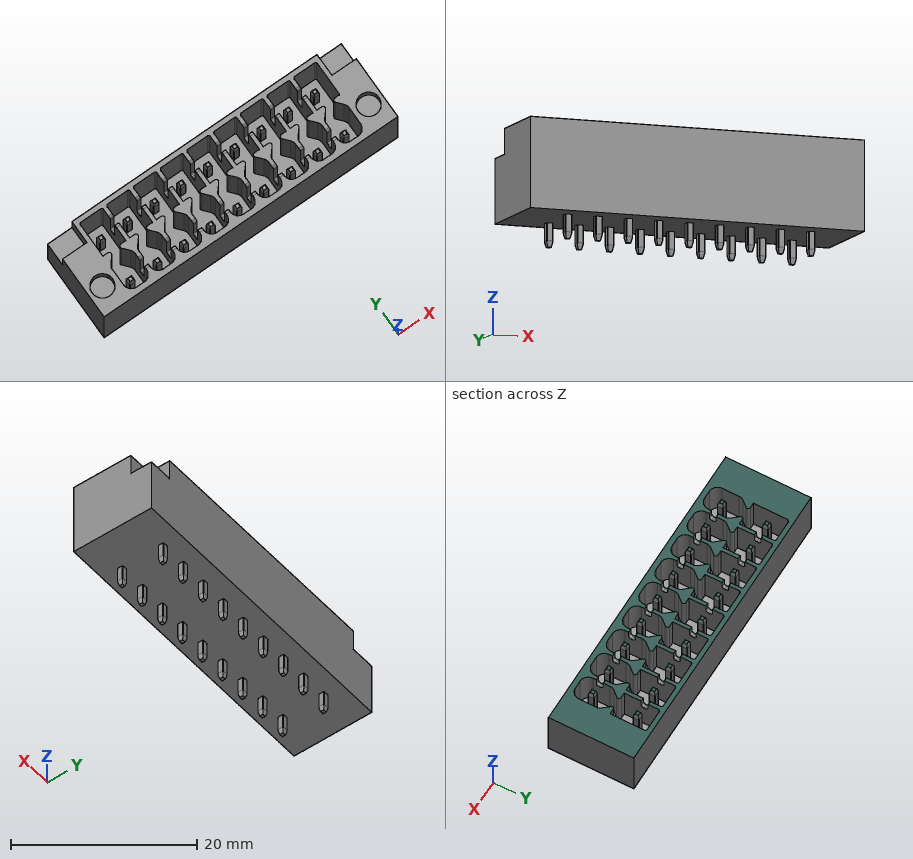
import cadquery as cq

length = 38.5
depth = 10.6
height = 9.97
front_y = -depth / 2
back_y = depth / 2

pole_count = 9
pitch = 3.5
row_offset = 2.77
pole_xs = [(i - (pole_count - 1) / 2) * pitch for i in range(pole_count)]
row_ys = (-row_offset, row_offset)

pocket_width = 3.0
pocket_depth = 8.0
back_wall = 0.6
front_wall = 0.7
pocket_back_y = back_y - back_wall
pocket_front_y = front_y + front_wall
back_corner_radius = 0.2
front_corner_radius = 1.0
key_back_y = 0.27
key_reach = 1.25
key_root_length = 1.42
key_tip_radius = 0.27
key_root_radius = 0.92

slot_width = 0.8
slot_depth = 5.0
slot_lip_radius = 0.35
slot_floor_radius = 0.3

flange_hole_diameter = 2.7
flange_hole_depth = 1.42
flange_hole_inset = 1.8
flange_hole_x = length / 2 - flange_hole_inset
flange_hole_y = -2.4
notch_length = 3.2
notch_side = 2.8

pin_width = 0.77
pin_bevel = 0.08
pin_tip_width = 0.42
pin_taper_length = 0.7
pin_bottom_z = -2.6
pin_recess = 3.85
pin_top_z = height - pin_recess


def make_key(pocket_floor_z):
    """Wedge growing from the -X side wall of a pocket centred on X = 0."""
    wall_x = -pocket_width / 2
    wedge = (
        cq.Workplane("XY", origin=(0, 0, pocket_floor_z))
        .moveTo(wall_x, key_back_y)
        .lineTo(wall_x + key_reach, key_back_y)
        .lineTo(wall_x, key_back_y - key_root_length)
        .close()
        .extrude(pocket_depth)
    )
    return wedge.edges("|Z and >X").fillet(key_tip_radius)


def make_pocket():
    """Solid that is cut out for one pole, centred on X = 0."""
    floor_z = height - pocket_depth
    pocket = (
        cq.Workplane("XY", origin=(0, (pocket_front_y + pocket_back_y) / 2, floor_z))
        .rect(pocket_width, pocket_back_y - pocket_front_y)
        .extrude(pocket_depth)
        .edges("|Z and >Y").fillet(back_corner_radius)
        .edges("|Z and <Y").fillet(front_corner_radius)
    )
    key = make_key(floor_z)
    pocket = pocket.cut(key).cut(key.mirror("YZ"))

    root_y = key_back_y - key_root_length
    margin = 0.05
    root_zone = cq.selectors.BoxSelector(
        (-pocket_width, root_y - margin, 0),
        (pocket_width, root_y + margin, height),
    )
    return pocket.edges(root_zone).edges("|Z").fillet(key_root_radius)


def make_web_slot(y):
    """Slot with a rounded floor and rounded lips, reaching from the first pole to the last."""
    half = slot_width / 2
    floor_z = height - slot_depth
    lip = slot_lip_radius
    return (
        cq.Workplane("YZ", origin=(pole_xs[0], y, 0))
        .moveTo(-half - lip, height)
        .radiusArc((-half, height - lip), lip)
        .lineTo(-half, floor_z + slot_floor_radius)
        .radiusArc((-half + slot_floor_radius, floor_z), -slot_floor_radius)
        .lineTo(half - slot_floor_radius, floor_z)
        .radiusArc((half, floor_z + slot_floor_radius), -slot_floor_radius)
        .lineTo(half, height - lip)
        .radiusArc((half + lip, height), lip)
        .close()
        .extrude(pole_xs[-1] - pole_xs[0])
    )


def make_pin():
    """Vertical pin on the Z axis: a square bar tapered at both ends, with bevelled long edges."""
    shank_bottom_z = pin_bottom_z + pin_taper_length
    shank_top_z = pin_top_z - pin_taper_length
    bar = (
        cq.Workplane("XY", origin=(0, 0, shank_bottom_z))
        .rect(pin_width, pin_width)
        .extrude(shank_top_z - shank_bottom_z)
    )
    for start_z, direction in ((shank_bottom_z, -1), (shank_top_z, 1)):
        tip = (
            cq.Workplane("XY", origin=(0, 0, start_z))
            .rect(pin_width, pin_width)
            .workplane(offset=direction * pin_taper_length)
            .rect(pin_tip_width, pin_tip_width)
            .loft(ruled=True)
        )
        bar = bar.union(tip)
    bevelled_envelope = (
        cq.Workplane("XY", origin=(0, 0, pin_bottom_z))
        .rect(pin_width, pin_width)
        .extrude(pin_top_z - pin_bottom_z)
        .edges("|Z").chamfer(pin_bevel)
    )
    return bar.intersect(bevelled_envelope)


body = cq.Workplane("XY").box(length, depth, height, centered=(True, True, False))

for side in (-1, 1):
    notch = cq.Workplane("XY").box(notch_length, notch_side, notch_side).translate(
        (
            side * (length - notch_length) / 2,
            back_y - notch_side / 2,
            height - notch_side / 2,
        )
    )
    body = body.cut(notch)

flange_holes = (
    cq.Workplane("XY", origin=(0, 0, height - flange_hole_depth))
    .pushPoints([(-flange_hole_x, flange_hole_y), (flange_hole_x, flange_hole_y)])
    .circle(flange_hole_diameter / 2)
    .extrude(flange_hole_depth)
)
body = body.cut(flange_holes)

pocket = make_pocket()
for x in pole_xs:
    body = body.cut(pocket.translate((x, 0, 0)))
for y in row_ys:
    body = body.cut(make_web_slot(y))

pin = make_pin()
for x in pole_xs:
    for y in row_ys:
        body = body.union(pin.translate((x, y, 0)))

result = body